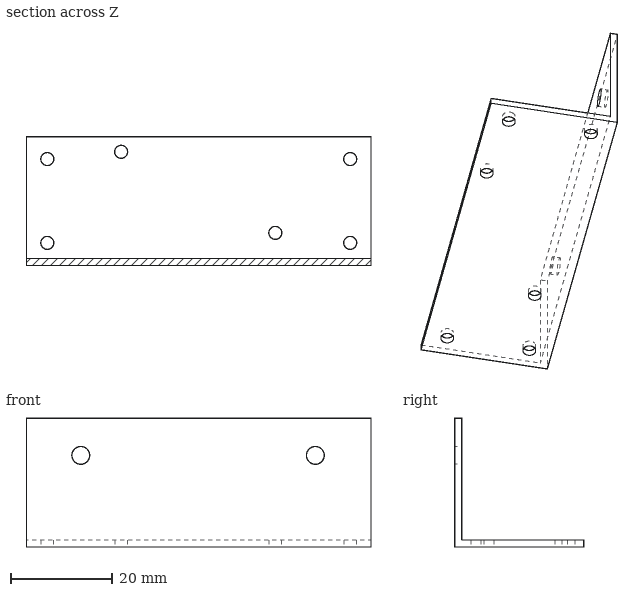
import cadquery as cq

length = 68.0
leg = 25.4
thickness = 1.4

wall_hole_diameter = 3.5
wall_hole_spacing = 46.25
wall_hole_center_x = 33.85
wall_hole_height = 18.1

base_hole_diameter = 2.5
corner_hole_inset = 4.15
corner_hole_front_y = 4.5
corner_hole_back_y = 21.0
staggered_holes = [(18.7, 22.45), (49.1, 6.45)]

base = cq.Workplane("XY").box(length, leg, thickness, centered=False)
wall = cq.Workplane("XY").box(length, thickness, leg, centered=False)
body = base.union(wall)

wall_holes = [
    (wall_hole_center_x + side * wall_hole_spacing / 2, wall_hole_height)
    for side in (-1, 1)
]
wall_cutters = (
    cq.Workplane("XZ")
    .pushPoints(wall_holes)
    .circle(wall_hole_diameter / 2)
    .extrude(-thickness)
)

corner_holes = [
    (x, y)
    for x in (corner_hole_inset, length - corner_hole_inset)
    for y in (corner_hole_front_y, corner_hole_back_y)
]
base_cutters = (
    cq.Workplane("XY")
    .pushPoints(corner_holes + staggered_holes)
    .circle(base_hole_diameter / 2)
    .extrude(thickness)
)

result = body.cut(wall_cutters).cut(base_cutters)